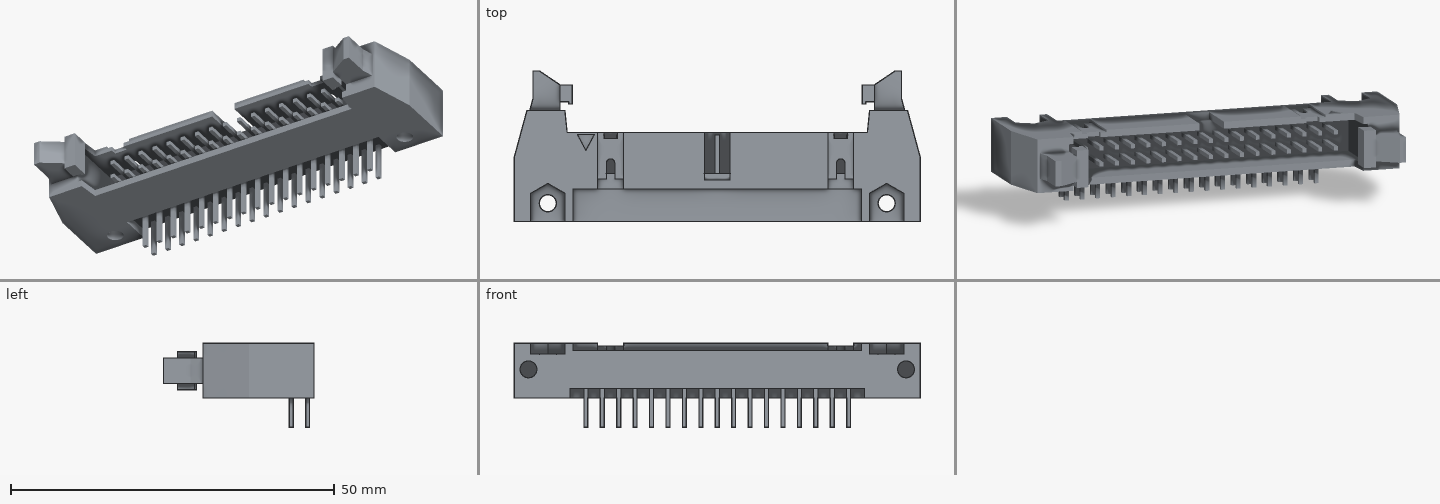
import cadquery as cq
import math

HOUSING_LENGTH = 62.8
HOUSING_HEIGHT = 8.5
HOUSING_DEPTH = 13.8
MID_HEIGHT = HOUSING_HEIGHT / 2
HALF_LENGTH = HOUSING_LENGTH / 2

TOWER_TOP_Y = 17.2
TOWER_TAPER_Y = 10.0
TOWER_OUTER_X = 29.45
TOWER_INNER_X = 23.55
TOWER_FOOT_X = 23.2

LEVER_HEIGHT = 4.0
LEVER_INNER_X = 24.3
LEVER_FOOT_X = 29.0
LEVER_OUTER_X = 28.5
LEVER_TIP_X = 27.5
LEVER_KINK_Y = 19.1
LEVER_TIP_Y = 23.3
HOOK_HEIGHT = 5.9
HOOK_INNER_X = 22.4
HOOK_TOP_Y = 21.15
HOOK_BOTTOM_Y = 18.5
HOOK_LIP_WIDTH = 0.6
HOOK_LIP_DROP = 0.35

CAVITY_HALF_LENGTH = LEVER_INNER_X
CAVITY_BACK_Y = 7.4
WALL = 1.1

LEDGE_HALF_LENGTH = 22.3
LEDGE_DEPTH_Y = 5.0
LEDGE_DROP = 1.15
RECESS_LENGTH = 45.5
RECESS_DEPTH_Y = 5.0
RECESS_HEIGHT = 1.5

KEY_SLOT_WIDTH = 4.0
KEY_SLOT_BACK_Y = 6.4

GROOVE_CENTRES_X = (-16.5, 19.1)
GROOVE_WIDTH = 4.0
GROOVE_DROP = 0.4
GROOVE_BACK_Y = 6.6
RELIEF_SLOT_WIDTH = 1.3
RELIEF_SLOT_END_Y = 9.7
EDGE_NOTCH_WIDTH = 2.1
EDGE_NOTCH_DEPTH = 0.95

HOLE_DIAMETER = 2.6
SCREW_X = 26.2
SCREW_Y = 2.83
NUT_ACROSS_FLATS = 5.3
NUT_POCKET_DEPTH = 1.7
BACK_HOLE_X = 29.2
BACK_HOLE_Z = 4.45
BACK_HOLE_DEPTH = 5.0

PITCH = 2.54
COLUMNS = 17
PIN_WIDTH = 0.64
PIN_EMBED = 0.5
TAIL_LENGTH = 4.5
FIRST_TAIL_Y = 1.0
PIN_TIP_Y = 13.4
FIRST_COLUMN_X = -PITCH * (COLUMNS - 1) / 2

MARKER_WIDTH = 2.6
MARKER_BASE_Y = 13.45
MARKER_APEX_Y = 11.0
MARKER_DEPTH = 0.2


def block(x_range, y_range, z_range):
    """Axis-aligned box between the given limits."""
    (x0, x1), (y0, y1), (z0, z1) = x_range, y_range, z_range
    return cq.Workplane("XY").box(x1 - x0, y1 - y0, z1 - z0, centered=False).translate((x0, y0, z0))


def top_cut(x_range, y_range, depth):
    """Box that removes the given depth from the top face."""
    return block(x_range, y_range, (HOUSING_HEIGHT - depth, HOUSING_HEIGHT))


def around(centre, width):
    """Limits of a span of the given width about a centre."""
    return (centre - width / 2, centre + width / 2)


def prism(points, z_range):
    """Vertical prism with the given XY outline."""
    z0, z1 = z_range
    return cq.Workplane("XY").workplane(offset=z0).polyline(points).close().extrude(z1 - z0)


def both_ends(shape):
    """The shape together with its mirror image about the YZ plane."""
    return shape.union(shape.mirror("YZ"))


def housing():
    right_outline = [
        (HALF_LENGTH, 0),
        (HALF_LENGTH, TOWER_TAPER_Y),
        (TOWER_OUTER_X, TOWER_TOP_Y),
        (TOWER_INNER_X, TOWER_TOP_Y),
        (TOWER_FOOT_X, HOUSING_DEPTH),
    ]
    left_outline = [(-x, y) for x, y in reversed(right_outline)]
    return prism(right_outline + left_outline, (0, HOUSING_HEIGHT))


def latch():
    lever = prism(
        [
            (LEVER_INNER_X, TOWER_TOP_Y),
            (LEVER_FOOT_X, TOWER_TOP_Y),
            (LEVER_OUTER_X, LEVER_KINK_Y),
            (LEVER_OUTER_X, LEVER_TIP_Y),
            (LEVER_TIP_X, LEVER_TIP_Y),
            (LEVER_INNER_X, HOOK_TOP_Y),
        ],
        around(MID_HEIGHT, LEVER_HEIGHT),
    )
    lip_x = HOOK_INNER_X + HOOK_LIP_WIDTH
    lip_y = HOOK_BOTTOM_Y - HOOK_LIP_DROP
    hook = prism(
        [
            (HOOK_INNER_X, HOOK_TOP_Y),
            (LEVER_INNER_X, HOOK_TOP_Y),
            (LEVER_INNER_X, HOOK_BOTTOM_Y),
            (lip_x, HOOK_BOTTOM_Y),
            (lip_x, lip_y),
            (HOOK_INNER_X, lip_y),
        ],
        around(MID_HEIGHT, HOOK_HEIGHT),
    )
    return lever.union(hook)


def mating_cavity():
    return block(
        (-CAVITY_HALF_LENGTH, CAVITY_HALF_LENGTH),
        (CAVITY_BACK_Y, TOWER_TOP_Y),
        (WALL, HOUSING_HEIGHT - WALL),
    )


def back_ledge():
    return top_cut((-LEDGE_HALF_LENGTH, LEDGE_HALF_LENGTH), (0, LEDGE_DEPTH_Y), LEDGE_DROP)


def underside_recess():
    return block(around(0, RECESS_LENGTH), (0, RECESS_DEPTH_Y), (0, RECESS_HEIGHT))


def key_slot():
    return top_cut(around(0, KEY_SLOT_WIDTH), (KEY_SLOT_BACK_Y, HOUSING_DEPTH), WALL)


def top_groove(centre_x):
    """Shallow groove with a deeper back part, a round-ended relief slot and an edge notch."""
    across = around(centre_x, GROOVE_WIDTH)
    slot_radius = RELIEF_SLOT_WIDTH / 2
    round_y = RELIEF_SLOT_END_Y - slot_radius
    groove = top_cut(across, (GROOVE_BACK_Y, HOUSING_DEPTH), GROOVE_DROP)
    deep_part = top_cut(across, (LEDGE_DEPTH_Y, GROOVE_BACK_Y), WALL)
    slot = top_cut(around(centre_x, RELIEF_SLOT_WIDTH), (GROOVE_BACK_Y, round_y), WALL)
    slot_end = (
        cq.Workplane("XY")
        .workplane(offset=HOUSING_HEIGHT - WALL)
        .center(centre_x, round_y)
        .circle(slot_radius)
        .extrude(WALL)
    )
    notch = top_cut(
        around(centre_x, EDGE_NOTCH_WIDTH),
        (HOUSING_DEPTH - EDGE_NOTCH_DEPTH, HOUSING_DEPTH),
        WALL,
    )
    return groove.union(deep_part).union(slot).union(slot_end).union(notch)


def screw_mount():
    """Through hole and hexagonal nut pocket, open towards the back face."""
    half_flats = NUT_ACROSS_FLATS / 2
    point_rise = half_flats * math.tan(math.radians(30))
    shoulder_y = SCREW_Y + point_rise
    apex_y = SCREW_Y + 2 * point_rise
    pocket = prism(
        [
            (SCREW_X - half_flats, 0),
            (SCREW_X + half_flats, 0),
            (SCREW_X + half_flats, shoulder_y),
            (SCREW_X, apex_y),
            (SCREW_X - half_flats, shoulder_y),
        ],
        (HOUSING_HEIGHT - NUT_POCKET_DEPTH, HOUSING_HEIGHT),
    )
    hole = cq.Workplane("XY").center(SCREW_X, SCREW_Y).circle(HOLE_DIAMETER / 2).extrude(HOUSING_HEIGHT)
    return pocket.union(hole)


def back_hole():
    return (
        cq.Workplane("XZ")
        .center(BACK_HOLE_X, BACK_HOLE_Z)
        .circle(HOLE_DIAMETER / 2)
        .extrude(-BACK_HOLE_DEPTH)
    )


def pin_one_marker():
    return prism(
        [
            (FIRST_COLUMN_X - MARKER_WIDTH / 2, MARKER_BASE_Y),
            (FIRST_COLUMN_X + MARKER_WIDTH / 2, MARKER_BASE_Y),
            (FIRST_COLUMN_X, MARKER_APEX_Y),
        ],
        (HOUSING_HEIGHT - MARKER_DEPTH, HOUSING_HEIGHT),
    )


def contact_pins(column):
    """Two solder tails and two mating pins of one column, rooted in the housing."""
    across = around(FIRST_COLUMN_X + column * PITCH, PIN_WIDTH)
    pins = []
    for row in range(2):
        tail_y = around(FIRST_TAIL_Y + row * PITCH, PIN_WIDTH)
        pins.append(block(across, tail_y, (-TAIL_LENGTH, RECESS_HEIGHT + PIN_EMBED)))
        mating_z = around(MID_HEIGHT + (row - 0.5) * PITCH, PIN_WIDTH)
        pins.append(block(across, (CAVITY_BACK_Y - PIN_EMBED, PIN_TIP_Y), mating_z))
    return pins


result = housing().union(both_ends(latch()))

cuts = [
    mating_cavity(),
    back_ledge(),
    underside_recess(),
    key_slot(),
    both_ends(screw_mount()),
    both_ends(back_hole()),
    pin_one_marker(),
]
cuts += [top_groove(centre_x) for centre_x in GROOVE_CENTRES_X]
for cut in cuts:
    result = result.cut(cut)

for column in range(COLUMNS):
    for pin in contact_pins(column):
        result = result.union(pin)